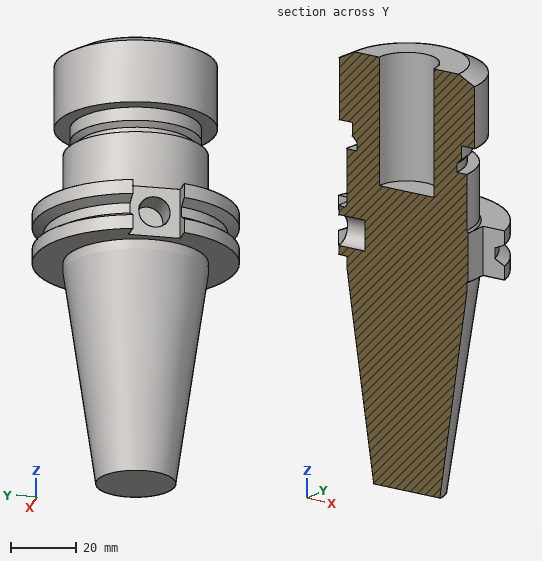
import cadquery as cq

total_height = 138.2
shank_radius = 22.3
taper_length = 68.5
taper_per_diameter = 7 / 24
tip_radius = shank_radius - taper_length * taper_per_diameter / 2

flange_bottom = 71.6
flange_height = 15.9
flange_top = flange_bottom + flange_height
flange_middle = flange_bottom + flange_height / 2
flange_radius = 63.5 / 2
groove_floor_radius = 28.2
groove_mouth_height = 6.9
groove_floor_height = 3.3

body_radius = 22.3
body_top = 106.5
relief_height = 0.8
relief_width = 0.5

neck_radius = 18.5
neck_top = 109.2
collar_radius = 20.2
collar_bottom = neck_top + collar_radius - neck_radius
nut_radius = 25.0
nut_bottom = 115.2
nut_bevel_height = 3.0
nut_face_radius = 19.2

bore_diameter = 20.0
bore_depth = 41.5
slot_width = 16.2
slot_floor_left = 25.2
slot_floor_right = 22.7
side_hole_diameter = 9.8
side_hole_depth = 9.7


def turned_body():
    """Revolve the (radius, height) half profile about Z."""
    profile = [
        (0, 0),
        (tip_radius, 0),
        (shank_radius, taper_length),
        (shank_radius, flange_bottom),
        (flange_radius, flange_bottom),
        (flange_radius, flange_middle - groove_mouth_height / 2),
        (groove_floor_radius, flange_middle - groove_floor_height / 2),
        (groove_floor_radius, flange_middle + groove_floor_height / 2),
        (flange_radius, flange_middle + groove_mouth_height / 2),
        (flange_radius, flange_top),
        (body_radius + relief_width, flange_top),
        (body_radius, flange_top + relief_height),
        (body_radius, body_top),
        (neck_radius, body_top),
        (neck_radius, neck_top),
        (collar_radius, collar_bottom),
        (collar_radius, nut_bottom),
        (nut_radius, nut_bottom),
        (nut_radius, total_height - nut_bevel_height),
        (nut_face_radius, total_height),
        (0, total_height),
    ]
    return cq.Workplane("XZ").polyline(profile).close().revolve(360, (0, 0), (0, 1))


def drive_slot(side, floor_distance):
    """Box cutting the flange rim from floor_distance outward; side is -1 or +1 along X."""
    slot_depth = flange_radius - floor_distance
    center_x = side * (floor_distance + slot_depth / 2)
    return (
        cq.Workplane("XY")
        .box(slot_depth, slot_width, flange_height)
        .translate((center_x, 0, flange_middle))
    )


def side_hole():
    """Blind radial hole entering from the floor of the -X slot."""
    return (
        cq.Workplane("YZ", origin=(-slot_floor_left, 0, flange_middle))
        .circle(side_hole_diameter / 2)
        .extrude(side_hole_depth)
    )


def nut_bore():
    """Blind central bore opening at the nut face."""
    return (
        cq.Workplane("XY", origin=(0, 0, total_height - bore_depth))
        .circle(bore_diameter / 2)
        .extrude(bore_depth)
    )


result = (
    turned_body()
    .cut(drive_slot(-1, slot_floor_left))
    .cut(drive_slot(1, slot_floor_right))
    .cut(side_hole())
    .cut(nut_bore())
)